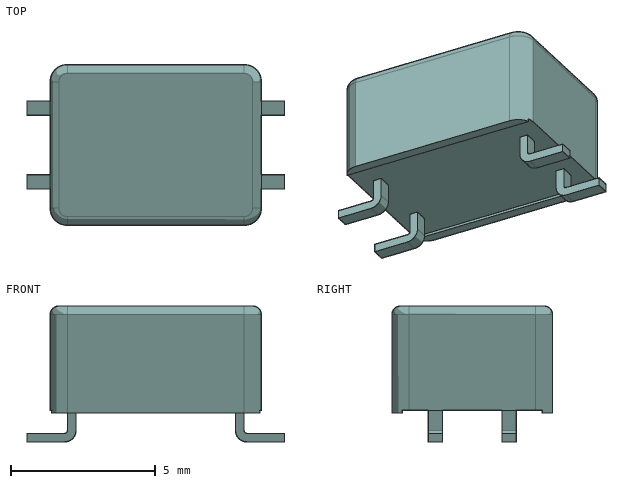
import cadquery as cq

total_length = 8.9
total_height = 4.7

housing_length = 7.3
housing_width = 5.55
corner_radius = 0.6
top_edge_radius = 0.3
standoff = 1.0
channel_depth = 0.1
channel_width = 4.82

lead_width = 0.5
lead_thickness = 0.3
lead_row_pitch = 2.545
foot_length = 1.4
inner_bend_radius = 0.1

channel_floor = standoff + channel_depth
outer_bend_radius = inner_bend_radius + lead_thickness


def make_housing():
    """Rounded block with a shallow channel running along X across its underside."""
    block = (
        cq.Workplane("XY")
        .workplane(offset=standoff)
        .rect(housing_length, housing_width)
        .extrude(total_height - standoff)
        .edges("|Z")
        .fillet(corner_radius)
        .faces(">Z")
        .edges()
        .fillet(top_edge_radius)
    )
    channel = (
        cq.Workplane("XY")
        .workplane(offset=standoff)
        .rect(housing_length, channel_width)
        .extrude(channel_depth)
    )
    return block.cut(channel)


def make_lead(row_y):
    """L-shaped lead on the +X side: a foot pointing outward, bent up to the channel floor."""
    toe_x = total_length / 2
    post_outer_x = toe_x - foot_length
    post_inner_x = post_outer_x - lead_thickness
    bar = (
        cq.Workplane("XZ", origin=(0, row_y, 0))
        .moveTo(toe_x, 0)
        .lineTo(toe_x, lead_thickness)
        .lineTo(post_outer_x, lead_thickness)
        .lineTo(post_outer_x, channel_floor)
        .lineTo(post_inner_x, channel_floor)
        .lineTo(post_inner_x, 0)
        .close()
        .extrude(lead_width / 2, both=True)
    )
    inner_corner = cq.selectors.NearestToPointSelector((post_outer_x, row_y, lead_thickness))
    outer_corner = cq.selectors.NearestToPointSelector((post_inner_x, row_y, 0))
    bar = bar.edges("|Y").edges(inner_corner).fillet(inner_bend_radius)
    return bar.edges("|Y").edges(outer_corner).fillet(outer_bend_radius)


housing = make_housing()

leads = []
for row_y in (-lead_row_pitch / 2, lead_row_pitch / 2):
    lead = make_lead(row_y)
    leads.append(lead.solids().val())
    leads.append(lead.mirror("YZ").solids().val())

result = cq.Compound.makeCompound([housing.solids().val(), *leads])